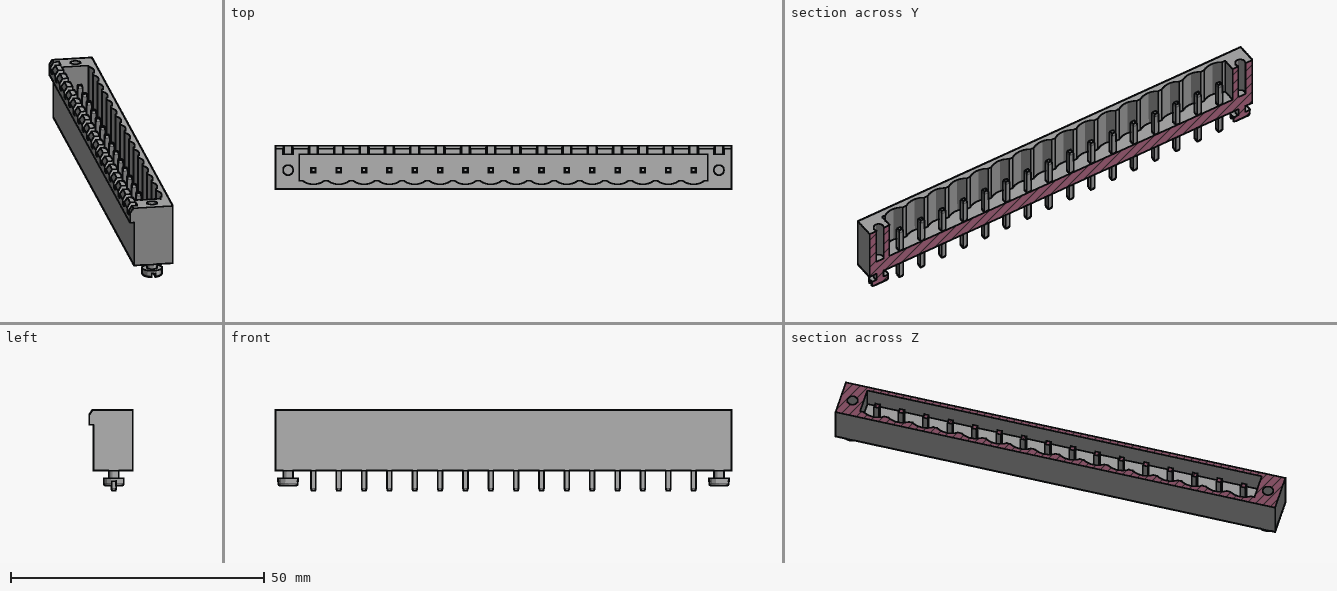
import cadquery as cq


pin_count = 16
pitch = 5.0
pin_size = 1.0
pin_row_y = 3.75
pin_below_housing = 4.0
pin_top_below_rim = 3.0
pin_tip_length = 0.5
pin_tip_inset = 0.15
row_length = (pin_count - 1) * pitch
pin_positions = [i * pitch - row_length / 2 for i in range(pin_count)]

housing_height = 12.0
housing_depth = 7.8
fastener_x = row_length / 2 + pitch
fastener_positions = [-fastener_x, fastener_x]
fastener_to_end = 2.5
housing_length = 2 * (fastener_x + fastener_to_end)

ledge_overhang = 0.8
ledge_height = 3.0
ledge_chamfer_depth = 0.65
ledge_chamfer_height = 1.0
ledge_back_y = housing_depth + ledge_overhang

end_clearance = 0.3
cavity_length = row_length + pitch + 2 * end_clearance
cavity_front_y = 1.6
cavity_back_y = 6.85
cavity_depth = 8.5
cavity_floor_z = housing_height - cavity_depth
scallop_width = 4.2
scallop_depth = 0.65

keying_slot_top_width = 2.0
keying_slot_floor_width = 1.5
keying_slot_depth = 1.9

fastener_hole_diameter = 2.0
fastener_hole_depth = cavity_depth
neck_diameter = 2.0
neck_length = 1.5
head_diameter = 4.0
head_thickness = 1.5
head_fillet = 0.5
driver_slot_width = 0.8
driver_slot_depth = 0.9


def make_housing():
    """Block with a chamfered ledge at the top of its back side."""
    ledge_bottom_z = housing_height - ledge_height
    profile = [
        (0, 0),
        (housing_depth, 0),
        (housing_depth, ledge_bottom_z),
        (ledge_back_y, ledge_bottom_z),
        (ledge_back_y, housing_height - ledge_chamfer_height),
        (ledge_back_y - ledge_chamfer_depth, housing_height),
        (0, housing_height),
    ]
    return cq.Workplane("YZ").polyline(profile).close().extrude(housing_length / 2, both=True)


def make_cavity():
    """Pocket whose front wall is hollowed by a round scallop ahead of each pin."""
    end_x = cavity_length / 2
    outline = cq.Workplane("XY", origin=(0, 0, cavity_floor_z))
    outline = outline.moveTo(-end_x, cavity_back_y).lineTo(-end_x, cavity_front_y)
    for x in pin_positions:
        outline = outline.lineTo(x - scallop_width / 2, cavity_front_y).threePointArc(
            (x, cavity_front_y - scallop_depth),
            (x + scallop_width / 2, cavity_front_y),
        )
    outline = outline.lineTo(end_x, cavity_front_y).lineTo(end_x, cavity_back_y)
    return outline.close().extrude(cavity_depth)


def make_keying_slot(x):
    """Slot through the back wall, narrower at its floor than at the rim."""
    floor_z = housing_height - keying_slot_depth
    profile = [
        (x - keying_slot_floor_width / 2, floor_z),
        (x + keying_slot_floor_width / 2, floor_z),
        (x + keying_slot_top_width / 2, housing_height),
        (x - keying_slot_top_width / 2, housing_height),
    ]
    length = ledge_back_y - cavity_back_y
    return cq.Workplane("XZ", origin=(0, ledge_back_y, 0)).polyline(profile).close().extrude(length)


def make_pin(x):
    """Square pin with tapered tips at both ends."""
    length = housing_height - pin_top_below_rim + pin_below_housing
    bottom = cq.Workplane("XY", origin=(x, pin_row_y, -pin_below_housing))
    pin = bottom.rect(pin_size, pin_size).extrude(length)
    return pin.faces("<Z or >Z").chamfer(pin_tip_length, pin_tip_inset)


def make_fastener(x):
    """Neck below the housing that ends in a round head with a driver slot along X."""
    neck = cq.Workplane("XY", origin=(x, pin_row_y, 0)).circle(neck_diameter / 2).extrude(-neck_length)
    head = (
        cq.Workplane("XY", origin=(x, pin_row_y, -neck_length))
        .circle(head_diameter / 2)
        .extrude(-head_thickness)
        .faces("<Z")
        .edges()
        .fillet(head_fillet)
    )
    head_bottom_z = -neck_length - head_thickness
    driver_slot = (
        cq.Workplane("XY", origin=(x, pin_row_y, head_bottom_z))
        .rect(head_diameter, driver_slot_width)
        .extrude(driver_slot_depth)
    )
    return neck.union(head.cut(driver_slot))


def make_fastener_hole(x):
    """Blind hole in the housing top above a fastener."""
    top = cq.Workplane("XY", origin=(x, pin_row_y, housing_height))
    return top.circle(fastener_hole_diameter / 2).extrude(-fastener_hole_depth)


result = make_housing().cut(make_cavity())
for slot_x in pin_positions + fastener_positions:
    result = result.cut(make_keying_slot(slot_x))
for pin_x in pin_positions:
    result = result.union(make_pin(pin_x))
for end_x in fastener_positions:
    result = result.cut(make_fastener_hole(end_x))
    result = result.union(make_fastener(end_x))